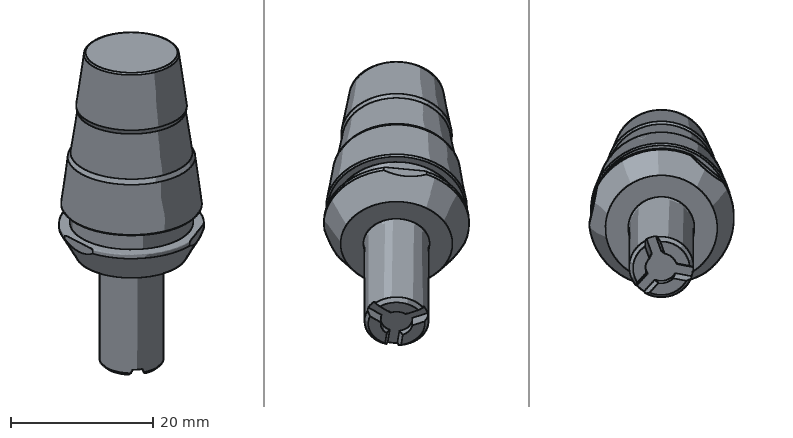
import cadquery as cq

TOTAL_HEIGHT = 48.55
COLLAR_BOTTOM = 17.1
COLLAR_TOP = 21.95
HEAD_BOTTOM = 24.6
LOWER_TIER_TOP = 32.25
MIDDLE_TIER_BOTTOM = 32.9
MIDDLE_TIER_TOP = 39.5
UPPER_TIER_BOTTOM = 40.2

STEM_RADIUS = 4.5
STEM_CHAMFER = 0.55
STEM_ROOT_FLARE = 0.15
STEM_ROOT_HEIGHT = 0.5

COLLAR_RADIUS = 20.45 / 2
COLLAR_BOTTOM_RADIUS = 7.85
RIM_HEIGHT = 0.7
RIM_ROUND = 0.15
FLAT_DISTANCE = 9.75

NECK_RADIUS = 8.7

LOWER_TIER_BOTTOM_RADIUS = 19.85 / 2
LOWER_TIER_TOP_RADIUS = 9.0
MIDDLE_TIER_BOTTOM_RADIUS = 8.6
MIDDLE_TIER_TOP_RADIUS = 7.6
UPPER_TIER_BOTTOM_RADIUS = 7.8
UPPER_TIER_TOP_RADIUS = 6.7
HEAD_EDGE_CHAMFER = 0.25

REPEATS = 3
REPEAT_ANGLE = 360 / REPEATS
FIRST_FLAT_ANGLE = -90.0
FIRST_NOTCH_ANGLE = 90.0

TIP_RECESS_RADIUS = 2.25
NOTCH_MOUTH_WIDTH = 2.3
NOTCH_ROOF_WIDTH = 1.35
NOTCH_HEIGHT = 1.0

CUT_MARGIN = 0.5


def turned_body():
    """Solid of revolution: stem, collar, neck and tiered head."""
    rim_bottom = COLLAR_TOP - RIM_HEIGHT
    return (
        cq.Workplane("XZ")
        .moveTo(0, 0)
        .lineTo(STEM_RADIUS - STEM_CHAMFER, 0)
        .lineTo(STEM_RADIUS, STEM_CHAMFER)
        .lineTo(STEM_RADIUS, COLLAR_BOTTOM - STEM_ROOT_HEIGHT)
        .lineTo(STEM_RADIUS + STEM_ROOT_FLARE, COLLAR_BOTTOM)
        .lineTo(COLLAR_BOTTOM_RADIUS, COLLAR_BOTTOM)
        .lineTo(COLLAR_RADIUS, rim_bottom)
        .lineTo(COLLAR_RADIUS, COLLAR_TOP - RIM_ROUND)
        .radiusArc((COLLAR_RADIUS - RIM_ROUND, COLLAR_TOP), -RIM_ROUND)
        .lineTo(NECK_RADIUS, COLLAR_TOP)
        .lineTo(NECK_RADIUS, HEAD_BOTTOM)
        .lineTo(LOWER_TIER_BOTTOM_RADIUS - HEAD_EDGE_CHAMFER, HEAD_BOTTOM)
        .lineTo(LOWER_TIER_BOTTOM_RADIUS, HEAD_BOTTOM + HEAD_EDGE_CHAMFER)
        .lineTo(LOWER_TIER_TOP_RADIUS, LOWER_TIER_TOP)
        .lineTo(MIDDLE_TIER_BOTTOM_RADIUS, MIDDLE_TIER_BOTTOM)
        .lineTo(MIDDLE_TIER_TOP_RADIUS, MIDDLE_TIER_TOP)
        .lineTo(UPPER_TIER_BOTTOM_RADIUS, UPPER_TIER_BOTTOM)
        .lineTo(UPPER_TIER_TOP_RADIUS, TOTAL_HEIGHT - HEAD_EDGE_CHAMFER)
        .lineTo(UPPER_TIER_TOP_RADIUS - HEAD_EDGE_CHAMFER, TOTAL_HEIGHT)
        .lineTo(0, TOTAL_HEIGHT)
        .close()
        .revolve(360, (0, 0, 0), (0, 1, 0))
    )


def collar_flat_cutter():
    """Block that trims the collar to a flat facing +X."""
    block_depth = COLLAR_RADIUS + CUT_MARGIN - FLAT_DISTANCE
    return (
        cq.Workplane("XY", origin=(FLAT_DISTANCE + block_depth / 2, 0, COLLAR_BOTTOM))
        .rect(block_depth, 2 * COLLAR_RADIUS)
        .extrude(COLLAR_TOP - COLLAR_BOTTOM)
    )


def tip_notch_cutter():
    """Trapezoidal channel running from the axis out through the stem wall toward +X."""
    return (
        cq.Workplane("YZ")
        .moveTo(-NOTCH_MOUTH_WIDTH / 2, 0)
        .lineTo(NOTCH_MOUTH_WIDTH / 2, 0)
        .lineTo(NOTCH_ROOF_WIDTH / 2, NOTCH_HEIGHT)
        .lineTo(-NOTCH_ROOF_WIDTH / 2, NOTCH_HEIGHT)
        .close()
        .extrude(STEM_RADIUS + CUT_MARGIN)
    )


def turned(shape, angle):
    """The shape rotated about the Z axis."""
    return shape.rotate((0, 0, 0), (0, 0, 1), angle)


tip_recess = cq.Workplane("XY").circle(TIP_RECESS_RADIUS).extrude(NOTCH_HEIGHT)
result = turned_body().cut(tip_recess)
for index in range(REPEATS):
    step_angle = index * REPEAT_ANGLE
    result = result.cut(turned(collar_flat_cutter(), FIRST_FLAT_ANGLE + step_angle))
    result = result.cut(turned(tip_notch_cutter(), FIRST_NOTCH_ANGLE + step_angle))